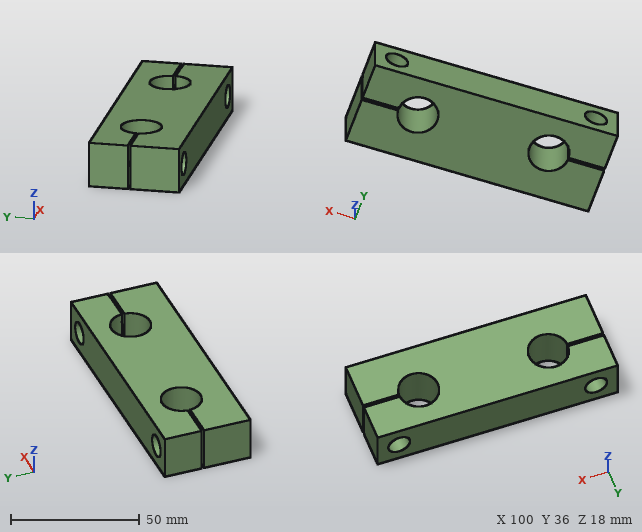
import cadquery as cq

length = 100.0
width = 36.0
height = 18.0

rod_diameter = 16.0
rod_spacing = 54.0
rod_from_back = 16.0

slit_width = 1.0

bolt_diameter = 9.0
bolt_spacing = 82.0

rod_y = width / 2 - rod_from_back


def clamp_block():
    """Plain block centred on the origin."""
    return cq.Workplane("XY").box(length, width, height)


def rod_bore(side):
    """Through bore for a rod; side is -1 or +1 along X."""
    return (
        cq.Workplane("XY")
        .center(side * rod_spacing / 2, rod_y)
        .circle(rod_diameter / 2)
        .extrude(height, both=True)
    )


def clamp_slit(side):
    """Slit running from the centre of a rod bore out through the end face."""
    slit_length = (length - rod_spacing) / 2
    slit_x = side * (rod_spacing + slit_length) / 2
    return (
        cq.Workplane("XY")
        .box(slit_length, slit_width, height)
        .translate((slit_x, rod_y, 0))
    )


def bolt_hole(side):
    """Through hole for the bolt that closes a slit."""
    return (
        cq.Workplane("XZ")
        .center(side * bolt_spacing / 2, 0)
        .circle(bolt_diameter / 2)
        .extrude(width, both=True)
    )


result = clamp_block()
for end in (-1, 1):
    result = result.cut(rod_bore(end))
    result = result.cut(clamp_slit(end))
    result = result.cut(bolt_hole(end))